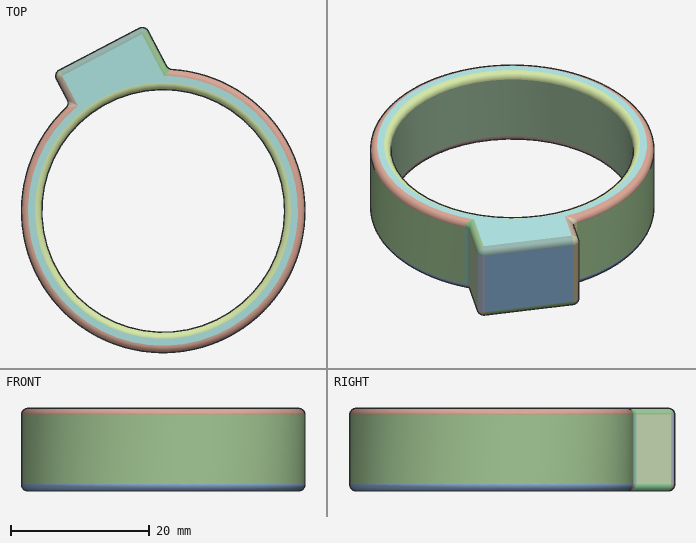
import cadquery as cq
import math

RING_OUTER_DIAMETER = 41.0
RING_BORE_DIAMETER = 35.0
HEIGHT = 12.0
EDGE_RADIUS = 1.0
INNER_CORNER_RADIUS = 0.95

BLOCK_WIDTH = 15.0
BLOCK_OFFSET = 2.65
BLOCK_REACH = 25.0
BLOCK_ANGLE = 27.6

RING_RADIUS = RING_OUTER_DIAMETER / 2


def make_blank():
    """Ring and rim block as one sharp-edged shape."""
    disc = cq.Workplane("XY").circle(RING_RADIUS).extrude(HEIGHT)
    block = cq.Workplane("XY").box(BLOCK_WIDTH, BLOCK_REACH, HEIGHT, centered=(True, False, False))
    bore = cq.Workplane("XY").circle(RING_BORE_DIAMETER / 2).extrude(HEIGHT)
    return disc.union(block.translate((BLOCK_OFFSET, 0, 0))).cut(bore)


def round_outer_edges(body):
    """Round the edges of both end faces and the two outer corners of the block."""
    end_edges = body.faces("<Z or >Z").edges()
    block_corners = body.faces(">Y").edges("|Z")
    return end_edges.add(block_corners).fillet(EDGE_RADIUS)


def round_inner_corners(body):
    """Round the two inner corners where the block walls meet the rim."""
    for side in (-1, 1):
        wall_x = BLOCK_OFFSET + side * BLOCK_WIDTH / 2
        wall_y = math.sqrt(RING_RADIUS**2 - wall_x**2)
        corner = cq.NearestToPointSelector((wall_x, wall_y, HEIGHT / 2))
        body = body.edges("|Z").edges(corner).fillet(INNER_CORNER_RADIUS)
    return body


def make_ring():
    """Finished ring with its rim block, turned to its place."""
    body = round_inner_corners(round_outer_edges(make_blank()))
    return body.rotate((0, 0, 0), (0, 0, 1), BLOCK_ANGLE)


ring = make_ring()
result = cq.Compound.makeCompound([ring.val()])